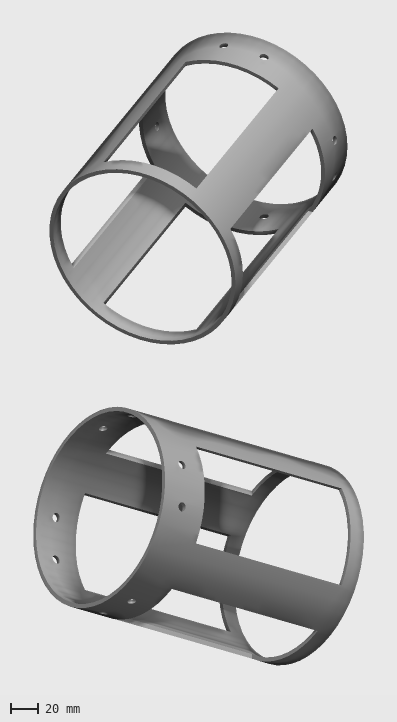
import cadquery as cq

outer_diameter = 152.4
wall = 3.175
length = 190.5

front_ring_length = 12.7
back_ring_length = 38.1

window_width = 76.2

hole_diameter = 6.6
hole_spacing = 33.02
hole_from_back = 17.78

inner_diameter = outer_diameter - 2 * wall
window_length = length - front_ring_length - back_ring_length
cut_depth = outer_diameter
quarter_turns = (0, 90, 180, 270)


def about_axis(body, angle):
    """Turn a body about the tube axis."""
    return body.rotate((0, 0, 0), (0, 1, 0), angle)


def make_tube():
    """Plain tube from Y = 0 (front) to Y = length (back)."""
    return (
        cq.Workplane("XZ")
        .circle(outer_diameter / 2)
        .circle(inner_diameter / 2)
        .extrude(-length)
    )


def window_cutter():
    """Straight-sided block that opens the +Z side of the tube."""
    return (
        cq.Workplane("XY")
        .center(0, front_ring_length + window_length / 2)
        .rect(window_width, window_length)
        .extrude(cut_depth)
    )


def hole_pair_cutter():
    """Two parallel pins that drill the +Z side of the back ring."""
    return (
        cq.Workplane("XY")
        .center(0, length - hole_from_back)
        .pushPoints([(-hole_spacing / 2, 0), (hole_spacing / 2, 0)])
        .circle(hole_diameter / 2)
        .extrude(cut_depth)
    )


result = make_tube()
for angle in quarter_turns:
    result = result.cut(about_axis(window_cutter(), angle))
    result = result.cut(about_axis(hole_pair_cutter(), angle))